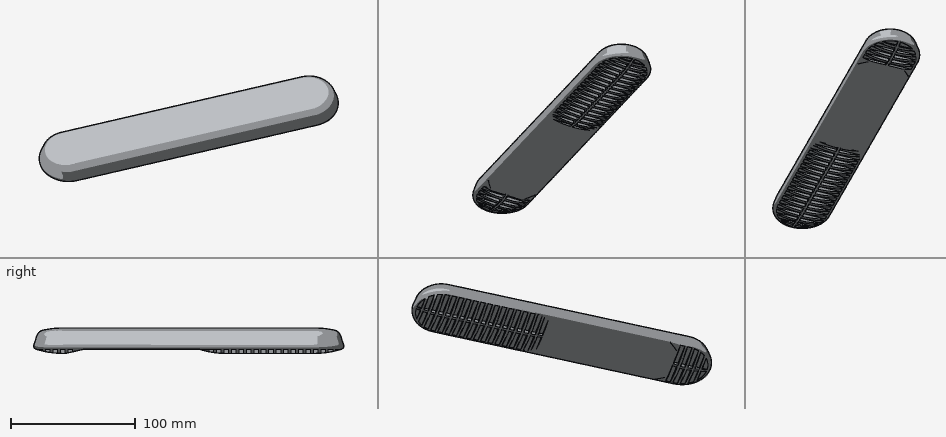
import cadquery as cq
import math

LENGTH = 248.3
WIDTH = 47.2
HEIGHT = 20.5

BASE_Z = 3.2
SIDE_BOTTOM_Z = 7.0
SIDE_TOP_Z = 13.7
CROWN_EDGE_Z = 18.9
CROWN_HALF_WIDTH = 16.0
DRAFT = math.radians(17.5)

PAD_OVERLAP = 1.0
LONG_PAD_INNER_Y = 29.8
RAMP_LOW_Y = -98.5
RAMP_HIGH_Y = -84.5

SLOT_OUTER_RADIUS = 20.5
RIB_WIDTH = 2.2
RIB_PITCH = 6.0
LONG_PAD_RIB_INSET = 2.0
SHORT_PAD_RIB_INSET = 2.7
LONG_PAD_SLOT_END_Y = 15.0
SHORT_PAD_SLOT_END_Y = -92.5

HALF_WIDTH = WIDTH / 2
END_Y = LENGTH / 2 - HALF_WIDTH

EDGE_RADIUS = (SIDE_BOTTOM_Z - BASE_Z) / (1 + math.sin(DRAFT))
EDGE_CENTER_X = HALF_WIDTH - EDGE_RADIUS
EDGE_CENTER_Z = BASE_Z + EDGE_RADIUS

DOME_RADIUS = (EDGE_CENTER_X ** 2 + EDGE_CENTER_Z ** 2 - EDGE_RADIUS ** 2) / (2 * BASE_Z)
PAD_RADIUS = EDGE_CENTER_X * DOME_RADIUS / (DOME_RADIUS - EDGE_RADIUS)
PAD_DEPTH = DOME_RADIUS - math.sqrt(DOME_RADIUS ** 2 - PAD_RADIUS ** 2)
PAD_TOP_Z = PAD_DEPTH + PAD_OVERLAP


def capsule(half_profile, y_start, y_end):
    """Sweep a half profile (X >= 0) straight along Y and round both ends."""
    outline = half_profile.val()
    straight = cq.Workplane("XZ", origin=(0, y_start, 0)).add(outline.translate((0, y_start, 0)))
    straight = straight.toPending().extrude(y_start - y_end)
    body = straight.union(straight.mirror("YZ"))
    turned_end = cq.Workplane("XZ").add(outline).toPending().revolve(360, (0, 0, 0), (0, 1, 0))
    for y in (y_start, y_end):
        body = body.union(turned_end.translate((0, y, 0)))
    return body


def handle():
    """Long bar with a crowned top, soft shoulders and drafted sides."""
    crown_rise = HEIGHT - CROWN_EDGE_Z
    crown_radius = (CROWN_HALF_WIDTH ** 2 + crown_rise ** 2) / (2 * crown_rise)
    side_bottom_x = EDGE_CENTER_X + EDGE_RADIUS * math.cos(DRAFT)
    side_top_x = side_bottom_x - (SIDE_TOP_Z - SIDE_BOTTOM_Z) * math.tan(DRAFT)
    profile = (
        cq.Workplane("XZ")
        .moveTo(0, BASE_Z)
        .lineTo(EDGE_CENTER_X, BASE_Z)
        .threePointArc((HALF_WIDTH, EDGE_CENTER_Z), (side_bottom_x, SIDE_BOTTOM_Z))
        .lineTo(side_top_x, SIDE_TOP_Z)
        .tangentArcPoint((CROWN_HALF_WIDTH, CROWN_EDGE_Z), relative=False)
        .radiusArc((0, HEIGHT), -crown_radius)
        .close()
    )
    return capsule(profile, -END_Y, END_Y)


def pad(y_start, y_end):
    """Shallow dome with round ends; its lowest level is Z = 0."""
    profile = (
        cq.Workplane("XZ")
        .radiusArc((PAD_RADIUS, PAD_DEPTH), -DOME_RADIUS)
        .lineTo(PAD_RADIUS, PAD_TOP_Z)
        .lineTo(0, PAD_TOP_Z)
        .close()
    )
    return capsule(profile, y_start, y_end)


def slots(side, rib_inset, slot_end_y):
    """Slots at the +Y (side = 1) or -Y (side = -1) end, reaching inward to slot_end_y."""
    length = END_Y + SLOT_OUTER_RADIUS - side * slot_end_y
    zone = cq.Workplane("XY").slot2D(2 * (END_Y + SLOT_OUTER_RADIUS), 2 * SLOT_OUTER_RADIUS, 90)
    zone = zone.extrude(BASE_Z)
    window = cq.Workplane("XY").rect(WIDTH, length).extrude(BASE_Z)
    zone = zone.intersect(window.translate((0, slot_end_y + side * length / 2, 0)))

    first_rib = END_Y - rib_inset
    outward = math.floor((SLOT_OUTER_RADIUS + rib_inset) / RIB_PITCH)
    inward = math.ceil((first_rib - side * slot_end_y) / RIB_PITCH)
    rib_centers = [(0, side * (first_rib - i * RIB_PITCH)) for i in range(-outward, inward + 1)]
    ribs = cq.Workplane("XY").pushPoints(rib_centers).rect(WIDTH, RIB_WIDTH).extrude(BASE_Z)
    spine = cq.Workplane("XY").rect(RIB_WIDTH, LENGTH).extrude(BASE_Z)
    return zone.cut(ribs).cut(spine)


def long_pad():
    """Pad at the +Y end, round at both ends."""
    return pad(LONG_PAD_INNER_Y, END_Y).cut(slots(1, LONG_PAD_RIB_INSET, LONG_PAD_SLOT_END_Y))


def short_pad():
    """Pad at the -Y end, run out by a ramp towards the middle of the handle."""
    inner_y = RAMP_HIGH_Y + PAD_RADIUS
    ramp = (
        cq.Workplane("YZ")
        .moveTo(RAMP_LOW_Y, 0)
        .lineTo(RAMP_HIGH_Y, BASE_Z)
        .lineTo(RAMP_HIGH_Y, PAD_TOP_Z)
        .lineTo(inner_y, PAD_TOP_Z)
        .lineTo(inner_y, 0)
        .close()
        .extrude(HALF_WIDTH, both=True)
    )
    return pad(-END_Y, RAMP_HIGH_Y).cut(ramp).cut(slots(-1, SHORT_PAD_RIB_INSET, SHORT_PAD_SLOT_END_Y))


result = handle().union(long_pad()).union(short_pad())